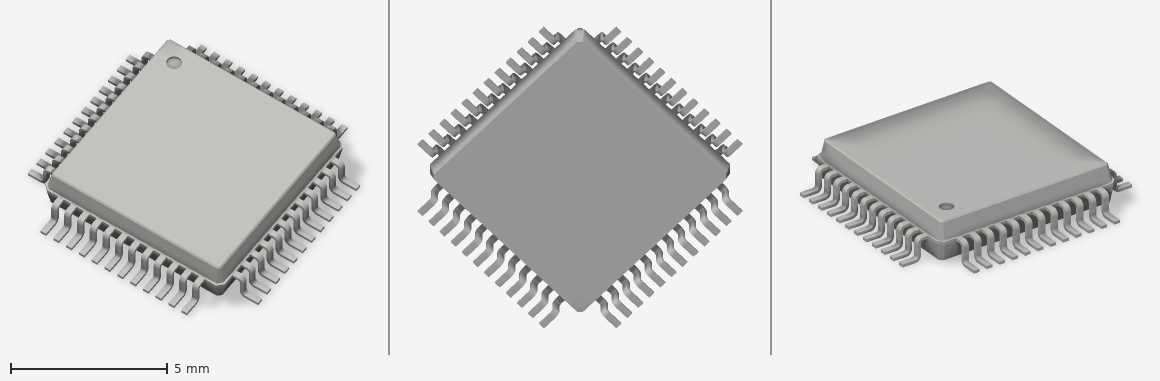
import cadquery as cq
import math


body_width = 7.0
body_corner_chamfer = 0.2
body_bottom_z = 0.1
body_top_z = 1.5
ledge_width = 0.075
draft_inset = 0.13
top_edge_chamfer = 0.05

lead_span = 9.0
leads_per_side = 12
lead_pitch = 0.5
lead_width = 0.22
lead_thickness = 0.11
lead_top_z = 0.85
shank_outer_face = 3.9
inner_bend_radius = 0.1
outer_bend_radius = inner_bend_radius + lead_thickness
lead_embed = 0.3

mark_diameter = 0.5
mark_offset = 2.58
mark_depth = 0.1

band_top_z = lead_top_z
band_bottom_z = lead_top_z - lead_thickness


def octagon(inset, z):
    """Corner-cut square wire at height z, moved inward by the same distance on all eight sides."""
    half = body_width / 2 - inset
    corner = body_corner_chamfer - inset * (2 - math.sqrt(2))
    flat = half - corner
    points = [
        (half, -flat), (half, flat), (flat, half), (-flat, half),
        (-half, flat), (-half, -flat), (-flat, -half), (flat, -half),
    ]
    return cq.Wire.makePolygon([cq.Vector(x, y, z) for x, y in points], close=True)


def frustum(bottom_inset, bottom_z, top_inset, top_z):
    """Solid with flat walls between two corner-cut squares."""
    wires = [octagon(bottom_inset, bottom_z), octagon(top_inset, top_z)]
    return cq.Workplane(obj=cq.Solid.makeLoft(wires, True))


def make_body():
    upper_top_inset = ledge_width + draft_inset
    chamfer_z = body_top_z - top_edge_chamfer
    lower = frustum(draft_inset, body_bottom_z, 0, band_bottom_z)
    band = frustum(0, band_bottom_z, 0, band_top_z)
    upper = frustum(ledge_width, band_top_z, upper_top_inset, chamfer_z)
    top_edge = frustum(upper_top_inset, chamfer_z, upper_top_inset + top_edge_chamfer, body_top_z)
    return lower.union(band).union(upper).union(top_edge)


def make_lead():
    """One gull-wing lead pointing along +X, centred on Y = 0."""
    root = body_width / 2 - lead_embed
    tip = lead_span / 2
    shank_inner_face = shank_outer_face - lead_thickness
    diagonal = math.sqrt(0.5)

    shoulder_x = shank_outer_face - outer_bend_radius
    shoulder_z = lead_top_z - outer_bend_radius
    heel_x = shank_inner_face + outer_bend_radius
    heel_z = outer_bend_radius

    def shoulder_mid(radius):
        return (shoulder_x + radius * diagonal, shoulder_z + radius * diagonal)

    def heel_mid(radius):
        return (heel_x - radius * diagonal, heel_z - radius * diagonal)

    profile = (
        cq.Workplane("XZ")
        .moveTo(root, lead_top_z)
        .lineTo(shoulder_x, lead_top_z)
        .threePointArc(shoulder_mid(outer_bend_radius), (shank_outer_face, shoulder_z))
        .lineTo(shank_outer_face, heel_z)
        .threePointArc(heel_mid(inner_bend_radius), (heel_x, lead_thickness))
        .lineTo(tip, lead_thickness)
        .lineTo(tip, 0)
        .lineTo(heel_x, 0)
        .threePointArc(heel_mid(outer_bend_radius), (shank_inner_face, heel_z))
        .lineTo(shank_inner_face, shoulder_z)
        .threePointArc(shoulder_mid(inner_bend_radius), (shoulder_x, band_bottom_z))
        .lineTo(root, band_bottom_z)
        .close()
    )
    return profile.extrude(lead_width / 2, both=True)


def make_all_leads():
    lead = make_lead()
    first_offset = -lead_pitch * (leads_per_side - 1) / 2
    leads = []
    for side_angle in (0, 90, 180, 270):
        for index in range(leads_per_side):
            placed = lead.translate((0, first_offset + index * lead_pitch, 0))
            placed = placed.rotate((0, 0, 0), (0, 0, 1), side_angle)
            leads.append(placed.val())
    return leads


def make_pin_one_mark():
    """Cutter for the round pin 1 recess in the top face."""
    return (
        cq.Workplane("XY", origin=(-mark_offset, mark_offset, body_top_z - mark_depth))
        .circle(mark_diameter / 2)
        .extrude(mark_depth)
    )


body = make_body().cut(make_pin_one_mark())
package = body.val().fuse(*make_all_leads()).clean()
result = cq.Workplane(obj=package).solids()